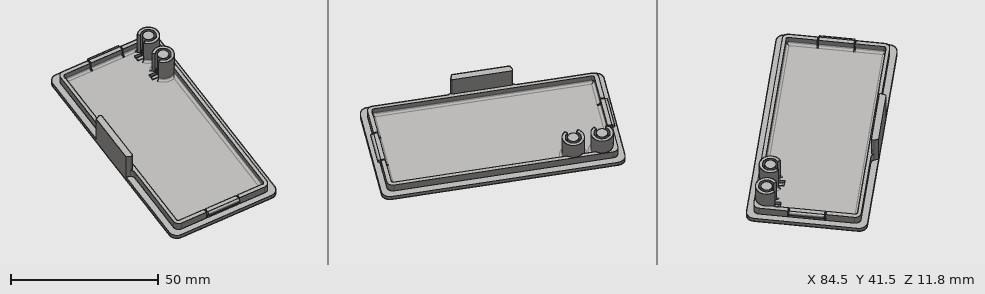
import cadquery as cq
import math

plate_length = 84.5
plate_width = 41.5
plate_thickness = 1.5
plate_corner_radius = 2.95

rim_length = 80.1
rim_width = 36.75
rim_top = 4.5
rim_corner_radius = 2.0
tray_length = 77.1
tray_width = 34.1
tray_corner_radius = 0.8
tray_floor_fillet = 1.0

tongue_width = 12.2
slit_width = 0.4
catch_reach = 1.0
catch_flat = 0.8
catch_edge_radius = 0.25
catch_bottom = 3.0

tab_top = 11.75
tab_front_width = 20.1
tab_back_width = 22.1
tab_corner_radius = 0.6
tab_root_fillet = 1.5

first_button_x = -35.0
button_y = 14.4
button_pitch = 10.0
button_count = 2
button_radius = 1.95
button_clearance = 0.5
button_top = 10.5
tube_outer_radius = 3.8
tube_inner_radius = 2.7
tube_foot_fillet = 0.9
tube_gap_half_angle = 35.0

arm_width = 1.5
arm_length = 4.8
arm_thickness = 0.8
arm_slot_width = 0.4

rim_height = rim_top - plate_thickness
front_edge_y = -plate_width / 2
rim_front_y = -rim_width / 2
rim_end_x = rim_length / 2
button_places = [(first_button_x + i * button_pitch, button_y) for i in range(button_count)]


def rounded_block(length, width, corner_radius, bottom, top):
    """Centred block with rounded vertical corners."""
    block = cq.Workplane("XY").box(length, width, top - bottom, centered=(True, True, False))
    return block.edges("|Z").fillet(corner_radius).translate((0, 0, bottom))


def tab_block(bottom, top):
    """Upright block that widens from the plate edge toward the rim."""
    outline = [
        (-tab_front_width / 2, front_edge_y),
        (tab_front_width / 2, front_edge_y),
        (tab_back_width / 2, rim_front_y),
        (-tab_back_width / 2, rim_front_y),
    ]
    return cq.Workplane("XY").workplane(offset=bottom).polyline(outline).close().extrude(top - bottom)


def make_tab():
    return tab_block(0, tab_top).edges("|Z and >Y").fillet(tab_corner_radius)


def make_rim():
    """Rim outline blended into the root of the tab on both sides."""
    rim = rounded_block(rim_length, rim_width, rim_corner_radius, plate_thickness, rim_top)
    rim = rim.union(tab_block(plate_thickness, rim_top))
    for side in (-1, 1):
        root = (side * tab_back_width / 2, rim_front_y, plate_thickness + rim_height / 2)
        rim = rim.edges(cq.selectors.NearestToPointSelector(root)).fillet(tab_root_fillet)
    return rim


def make_tray():
    """Space inside the rim, with rounded edges where the walls meet the floor."""
    tray = rounded_block(tray_length, tray_width, tray_corner_radius, plate_thickness, rim_top)
    for direction in ("|X", "|Y"):
        trough = cq.Workplane("XY").box(tray_length, tray_width, rim_height, centered=(True, True, False))
        trough = trough.edges(direction + " and <Z").fillet(tray_floor_fillet)
        tray = tray.intersect(trough.translate((0, 0, plate_thickness)))
    return tray


def make_slits():
    """Cuts beside each tongue, through the rim wall and its floor fillet."""
    inner_x = tray_length / 2 - tray_floor_fillet
    slit = cq.Workplane("XY").box(
        rim_end_x - inner_x, slit_width, rim_height, centered=(False, True, False)
    )
    slits = cq.Workplane("XY")
    for side in (-1, 1):
        y = side * (tongue_width + slit_width) / 2
        right_slit = slit.translate((inner_x, y, plate_thickness))
        slits = slits.add(right_slit).add(right_slit.mirror("YZ"))
    return slits.combine()


def make_catches():
    """Snap ridge on the outside of each tongue."""
    middle_z = (catch_bottom + rim_top) / 2
    profile = [
        (rim_end_x, catch_bottom),
        (rim_end_x + catch_reach, middle_z - catch_flat / 2),
        (rim_end_x + catch_reach, middle_z + catch_flat / 2),
        (rim_end_x, rim_top),
    ]
    ridge = cq.Workplane("XZ").polyline(profile).close().extrude(tongue_width / 2, both=True)
    ridge = ridge.edges("|Y and >X").fillet(catch_edge_radius)
    return ridge.union(ridge.mirror("YZ"))


def gap_wedge():
    """Sector that opens a guide tube toward the arm, about the tube axis."""
    reach = 2 * tube_outer_radius
    half_width = reach * math.tan(math.radians(tube_gap_half_angle))
    outline = [(0, 0), (half_width, -reach), (-half_width, -reach)]
    return cq.Workplane("XY").polyline(outline).close().extrude(button_top)


def make_tube():
    """Split guide tube with a flared foot, about its own axis and not yet bored."""
    foot_radius = tube_outer_radius + tube_foot_fillet
    foot_top = plate_thickness + tube_foot_fillet
    bend = tube_foot_fillet * (1 - math.sqrt(0.5))
    tube = (
        cq.Workplane("XZ")
        .moveTo(0, 0)
        .lineTo(foot_radius, 0)
        .lineTo(foot_radius, plate_thickness)
        .threePointArc((tube_outer_radius + bend, plate_thickness + bend), (tube_outer_radius, foot_top))
        .lineTo(tube_outer_radius, button_top)
        .lineTo(0, button_top)
        .close()
        .revolve(360, (0, 0, 0), (0, 1, 0))
    )
    return tube.cut(gap_wedge())


def make_corner_filler():
    """Solid corner between the first tube and the two tray walls beside it."""
    length = first_button_x + tray_length / 2 + tray_corner_radius
    width = tray_width / 2 + tray_corner_radius - button_y
    filler = cq.Workplane("XY").box(length, width, rim_top, centered=False)
    return filler.translate((first_button_x - length, button_y, 0))


def make_tube_bore():
    """Clear space inside a tube above the plate."""
    bore = cq.Workplane("XY").circle(tube_inner_radius).extrude(button_top)
    return bore.translate((0, 0, plate_thickness))


def make_plate_opening():
    """Keyhole through the plate around a button and its arm."""
    opening_width = arm_width + 2 * arm_slot_width
    hole = cq.Workplane("XY").circle(button_radius + button_clearance).extrude(plate_thickness)
    slot = cq.Workplane("XY").rect(opening_width, arm_length).extrude(plate_thickness)
    return hole.union(slot.translate((0, -arm_length / 2, 0)))


def make_button():
    """Button on a thin arm whose root curves up to the plate surface."""
    rise = plate_thickness - arm_thickness
    bend = rise * math.sqrt(0.5)
    arm = (
        cq.Workplane("YZ")
        .moveTo(0, 0)
        .lineTo(-arm_length, 0)
        .lineTo(-arm_length, plate_thickness)
        .threePointArc(
            (-arm_length + rise - bend, plate_thickness - bend), (-arm_length + rise, arm_thickness)
        )
        .lineTo(0, arm_thickness)
        .close()
        .extrude(arm_width / 2, both=True)
    )
    return arm.union(cq.Workplane("XY").circle(button_radius).extrude(button_top))


plate = rounded_block(plate_length, plate_width, plate_corner_radius, 0, plate_thickness)
rim = make_rim().cut(make_tray()).cut(make_slits())
result = plate.union(rim).union(make_tab()).union(make_catches()).union(make_corner_filler())

tube_limit = rounded_block(rim_length, rim_width, rim_corner_radius, 0, button_top)
for x, y in button_places:
    place = (x, y, 0)
    result = result.union(make_tube().translate(place).intersect(tube_limit))
    result = result.cut(make_tube_bore().translate(place))
    result = result.cut(make_plate_opening().translate(place))
    result = result.union(make_button().translate(place))